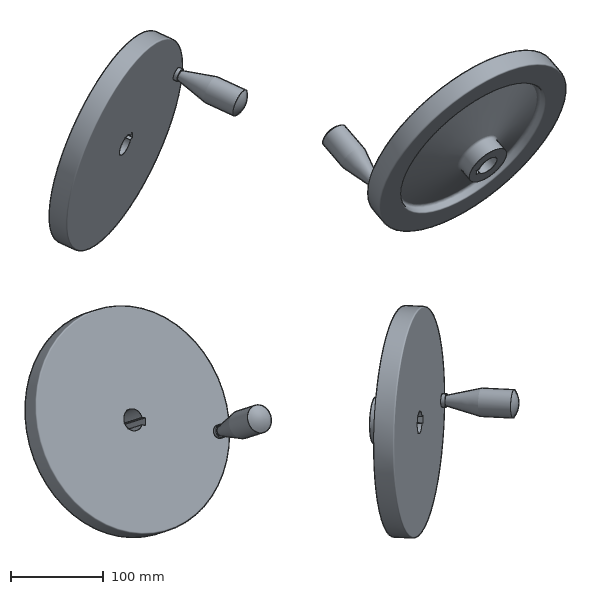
import cadquery as cq
import math

rim_radius = 124.95
rim_front = 26.5
rim_width = 23.0
rim_edge_round = 1.5
rim_back = rim_front + rim_width

recess_radius = 192.6 / 2
recess_mouth_round = 1.5
recess_floor_round = 3.0
web_angle = 15.5

hub_radius = 50.0 / 2
hub_length = 17.5
hub_root_round = 2.5
bore_radius = 12.0
keyway_width = 8.0
keyway_reach = 15.5

grip_radius = 31.0 / 2
overall_span_y = 251.2
handle_offset = overall_span_y - rim_radius - grip_radius
collar_radius = 14.8 / 2
collar_length = 4.5
taper_start_radius = 5.8
taper_length = 38.7
grip_length = 35.7
total_length = 133.9
taper_start = rim_back + collar_length
grip_start = taper_start + taper_length
grip_end = grip_start + grip_length


def circle_at(x, radius):
    """Select the full circle about the X axis with its centre at x and the given radius."""
    tolerance = 0.13
    inner = radius - tolerance
    outer = radius + tolerance
    return cq.selectors.BoxSelector(
        (x - tolerance, -outer, -outer), (x + tolerance, outer, outer), boundingbox=True
    ) - cq.selectors.BoxSelector(
        (x - tolerance, -inner, -inner), (x + tolerance, inner, inner), boundingbox=True
    )


def revolve_about_x(profile):
    return profile.close().revolve(360, (0, 0, 0), (1, 0, 0))


def make_wheel():
    recess_floor = hub_length + (recess_radius - hub_radius) * math.tan(math.radians(web_angle))
    profile = (
        cq.Workplane("XY")
        .lineTo(0, hub_radius)
        .lineTo(hub_length, hub_radius)
        .lineTo(recess_floor, recess_radius)
        .lineTo(rim_front, recess_radius)
        .lineTo(rim_front, rim_radius)
        .lineTo(rim_back, rim_radius)
        .lineTo(rim_back, 0)
    )
    wheel = revolve_about_x(profile)
    rounds = [
        (hub_length, hub_radius, hub_root_round),
        (recess_floor, recess_radius, recess_floor_round),
        (rim_front, recess_radius, recess_mouth_round),
        (rim_front, rim_radius, rim_edge_round),
        (rim_back, rim_radius, rim_edge_round),
    ]
    for x, radius, size in rounds:
        wheel = wheel.edges(circle_at(x, radius)).fillet(size)
    return wheel


def make_handle():
    dome_height = total_length - grip_end
    dome_radius = (grip_radius**2 + dome_height**2) / (2 * dome_height)
    profile = (
        cq.Workplane("XY")
        .moveTo(rim_back, 0)
        .lineTo(rim_back, collar_radius)
        .lineTo(taper_start, collar_radius)
        .lineTo(taper_start, taper_start_radius)
        .lineTo(grip_start, grip_radius)
        .lineTo(grip_end, grip_radius)
        .radiusArc((total_length, 0), dome_radius)
    )
    return revolve_about_x(profile).translate((0, handle_offset, 0))


def make_bore():
    bore = cq.Workplane("YZ").circle(bore_radius).extrude(rim_back)
    keyway = (
        cq.Workplane("YZ")
        .center(keyway_reach / 2, 0)
        .rect(keyway_reach, keyway_width)
        .extrude(rim_back)
    )
    return bore.union(keyway)


result = make_wheel().cut(make_bore()).union(make_handle())